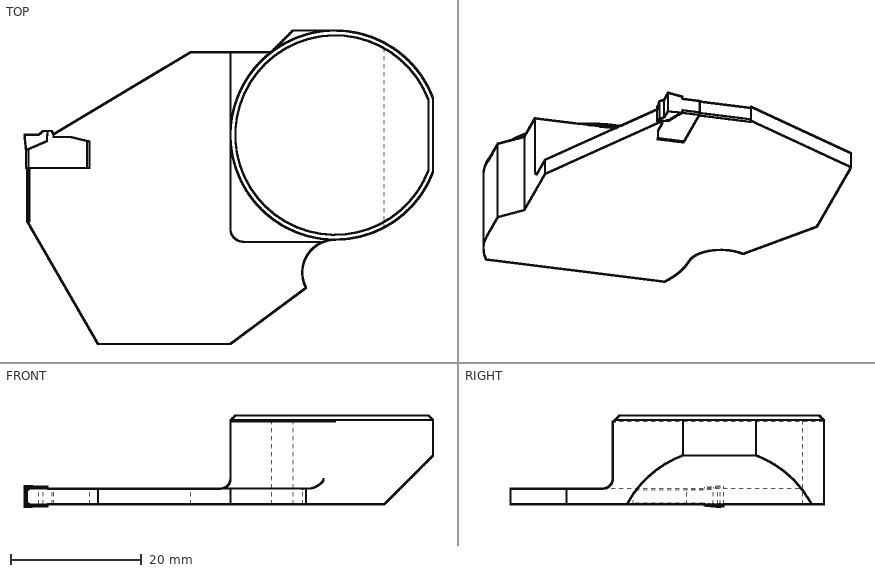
import cadquery as cq
import math

head_radius = 16.0
head_flat_x = 15.0
head_top = 13.65
head_chamfer = 0.75
head_rim = 0.2
heel_cut = 7.5

block_left = -head_radius
block_front = -16.35
block_top = head_top - head_chamfer - head_rim
block_corner_radius = 2.0
root_fillet = 1.5
wedge_left = -6.45

plate_thickness = 2.45
plate_rear = 12.7
plate_rear_left = -22.1
plate_front = -32.0
plate_front_left = -36.3
plate_front_right = -16.0
plate_right_tip = (-4.4, -23.35)
plate_left = -47.15
plate_left_front = -13.2
relief_radius = 5.0

tip = (-47.6, 0.05)
insert_front = -5.1
insert_right = -37.55
insert_front_left = (-47.3, insert_front)
insert_rear_right = (insert_right, -1.0)
insert_rear_exit = (-43.15, 0.1)
nose_rear = 0.6
nose_step_start = (-45.4, tip[1])
nose_step_end = (-44.7, nose_rear)
nose_right = -44.0
nose_inner = (-44.15, -0.95)
nose_front = (insert_front_left[0], -2.3)
nose_rise = 0.41
nose_slope = 0.11
nose_fall_angle = -63.0
nose_reach = 3.1
edge_bevel_width = 0.4
edge_bevel_depth = 0.25
end_bevel_depth = 0.1

overcut = 6.25


def prism(points, height):
    return cq.Workplane("XY").polyline(points).close().extrude(height)


def edge_bevels(start, end, depth):
    """Wedges that bevel both rims of a vertical face; material lies left of start to end."""
    length = math.dist(start, end)
    along = cq.Vector((end[0] - start[0]) / length, (end[1] - start[1]) / length, 0)
    section = cq.Plane(origin=(start[0], start[1], 0), xDir=(-along.y, along.x, 0), normal=along)
    up = section.yDir.z
    lower = [(0, 0), (edge_bevel_width, 0), (0, up * depth)]
    upper = [(x, up * plate_thickness - y) for x, y in lower]
    bevels = cq.Workplane(section).polyline(lower).close().extrude(length)
    return bevels.union(cq.Workplane(section).polyline(upper).close().extrude(length))


def insert_outline():
    return [
        tip, nose_step_start, nose_step_end, (-43.3, nose_rear), insert_rear_exit,
        (-43.1, -0.3), (-40.45, -0.3), insert_rear_right,
        (insert_right, insert_front), insert_front_left, nose_front,
    ]


def make_nose():
    """Raised cutting nose whose two faces both fall away from the tip."""
    outline = [
        tip, nose_step_start, nose_step_end, (nose_right, nose_rear), nose_inner, nose_front,
    ]
    blank = prism(outline, plate_thickness + 2 * nose_rise).translate((0, 0, -nose_rise))
    heading = math.radians(nose_fall_angle)
    fall_plane = cq.Plane(
        origin=(tip[0], tip[1], plate_thickness / 2),
        xDir=(math.cos(heading), math.sin(heading), 0),
        normal=(math.sin(heading), -math.cos(heading), 0),
    )
    half = plate_thickness / 2 + nose_rise
    change = nose_slope * nose_reach
    taper = [
        (-nose_reach, half + change), (nose_reach, half - change),
        (nose_reach, change - half), (-nose_reach, -half - change),
    ]
    return blank.intersect(cq.Workplane(fall_plane).polyline(taper).close().extrude(overcut, both=True))


def make_insert():
    insert = prism(insert_outline(), plate_thickness)
    insert = insert.cut(edge_bevels(nose_front, insert_front_left, edge_bevel_depth))
    insert = insert.cut(edge_bevels((insert_right, insert_front), insert_rear_right, end_bevel_depth))
    return insert.union(make_nose())


def make_plate():
    outline = [
        (0, plate_rear), (plate_rear_left, plate_rear), insert_rear_exit, (plate_left, insert_front),
        (plate_left, plate_left_front), (plate_front_left, plate_front),
        (plate_front_right, plate_front), plate_right_tip, (0, -head_radius - relief_radius),
    ]
    plate = prism(outline, plate_thickness)
    return plate.cut(edge_bevels((plate_left, insert_front), (plate_left, plate_left_front), edge_bevel_depth))


def make_block():
    outline = [(0, block_front), (block_left, block_front), (block_left, plate_rear), (0, plate_rear)]
    block = prism(outline, block_top)
    return block.edges("|Z and <X and <Y").fillet(block_corner_radius)


def make_head():
    head = cq.Workplane("XY").circle(head_radius).extrude(head_top)
    beyond_flat = cq.Workplane("XY").box(overcut, 3 * head_radius, 3 * head_top)
    head = head.cut(beyond_flat.translate((head_flat_x + overcut / 2, 0, 0)))
    head = head.faces(">Z").edges().chamfer(head_chamfer)
    heel = [(head_flat_x - heel_cut, 0), (head_flat_x, 0), (head_flat_x, heel_cut)]
    return head.cut(cq.Workplane("XZ").polyline(heel).close().extrude(head_radius, both=True))


def make_rear_shoulder():
    run = head_radius - plate_rear
    outline = [
        (0, head_radius), (wedge_left, head_radius), (wedge_left - run, plate_rear), (0, plate_rear),
    ]
    return prism(outline, block_top)


def make_holder():
    holder = make_plate().union(make_block())
    root = cq.selectors.BoxSelector(
        (block_left - 0.05, block_front - 0.05, plate_thickness - 0.05),
        (0.05, plate_rear + 0.05, plate_thickness + 0.05),
    )
    holder = holder.edges(root).fillet(root_fillet)
    relief = cq.Workplane("XY").center(0, -head_radius - relief_radius).circle(relief_radius)
    holder = holder.cut(relief.extrude(head_top))
    holder = holder.union(make_rear_shoulder()).union(make_head())
    return holder.cut(prism(insert_outline(), plate_thickness))


holder = make_holder()
insert = make_insert()
result = cq.Compound.makeCompound([holder.solids().val(), insert.solids().val()])